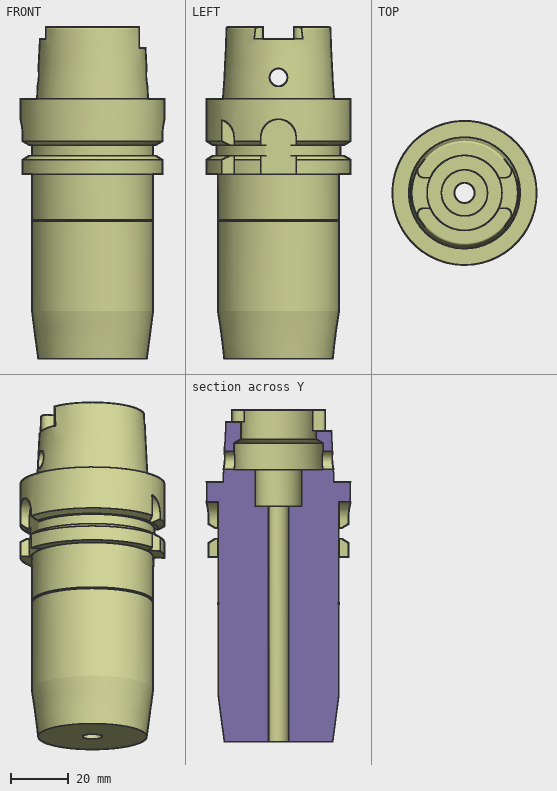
import cadquery as cq
import math

total_length = 115.0
flange_top = 90.0
flange_bottom = 64.0

flange_radius = 25.01
groove_radius = 21.5
groove_bottom = 70.4
groove_top = 74.1
groove_side_height = 1.4
groove_edge_radius = 22.8

taper_base_radius = 19.3
taper_tip_radius = 18.0
tip_rounding = 0.7

body_radius = 21.0
nose_radius = 18.9
nose_height = 16.6
ring_groove_bottom = 47.7
ring_groove_width = 0.5
ring_groove_depth = 0.2

mouth_radius = 13.0
mouth_depth = 10.1
undercut_radius = 15.4
undercut_cone_angle = 60.0
cavity_floor = 94.3
pocket_radius = 7.99
pocket_depth = 12.6
coolant_radius = 3.5
cross_hole_radius = 3.05
cross_hole_height = 97.5

lug_half_width = 16.2
key_half_width = 5.3
lug_corner_radius = 2.1
left_key_floor = 110.9
right_key_floor = 107.8

slot_half_width = 6.1
slot_arc_height = 76.9
slot_floor_offset = body_radius
notch_floor_offset = 15.4

clearance = 5.8


def make_outside():
    """Revolve the outer profile, then round the shank tip."""
    ring_floor = body_radius - ring_groove_depth
    ring_groove_top = ring_groove_bottom + ring_groove_width
    profile = [
        (0, 0),
        (nose_radius, 0),
        (body_radius, nose_height),
        (body_radius, ring_groove_bottom),
        (ring_floor, ring_groove_bottom),
        (ring_floor, ring_groove_top),
        (body_radius, ring_groove_top),
        (body_radius, flange_bottom),
        (flange_radius, flange_bottom),
        (flange_radius, groove_bottom - groove_side_height),
        (groove_edge_radius, groove_bottom),
        (groove_radius, groove_bottom),
        (groove_radius, groove_top),
        (groove_edge_radius, groove_top),
        (flange_radius, groove_top + groove_side_height),
        (flange_radius, flange_top),
        (taper_base_radius, flange_top),
        (taper_tip_radius, total_length),
        (0, total_length),
    ]
    outside = cq.Workplane("XZ").polyline(profile).close().revolve(360, (0, 0), (0, 1))
    return outside.faces(">Z").edges().fillet(tip_rounding)


def make_bores():
    """Revolve the mouth, the conical undercut, the pocket and the coolant hole as one cutter."""
    mouth_bottom = total_length - mouth_depth
    undercut_drop = (undercut_radius - mouth_radius) / math.tan(math.radians(undercut_cone_angle))
    pocket_floor = cavity_floor - pocket_depth
    profile = [
        (0, -clearance),
        (coolant_radius, -clearance),
        (coolant_radius, pocket_floor),
        (pocket_radius, pocket_floor),
        (pocket_radius, cavity_floor),
        (undercut_radius, cavity_floor),
        (undercut_radius, mouth_bottom - undercut_drop),
        (mouth_radius, mouth_bottom),
        (mouth_radius, total_length + clearance),
        (0, total_length + clearance),
    ]
    return cq.Workplane("XZ").polyline(profile).close().revolve(360, (0, 0), (0, 1))


def make_cross_hole():
    """Radial hole along X through both walls of the shank."""
    return (
        cq.Workplane("YZ")
        .center(0, cross_hole_height)
        .circle(cross_hole_radius)
        .extrude(flange_radius, both=True)
    )


def make_key_cut(side, floor):
    """Driving key cut on one X side, leaving lugs with rounded corners."""
    height = total_length + clearance - floor
    reach = flange_radius + clearance
    lug_length = reach - key_half_width
    lug_centre = (reach + key_half_width) / 2
    cutter = cq.Workplane("XY", origin=(side * reach / 2, 0, floor)).rect(reach, 2 * reach).extrude(height)
    for lug_side in (-1, 1):
        lug = (
            cq.Workplane("XY", origin=(0, lug_side * lug_centre, floor))
            .rect(2 * lug_half_width, lug_length)
            .extrude(height)
            .edges("|Z")
            .fillet(lug_corner_radius)
        )
        cutter = cutter.cut(lug)
    return cutter


def make_flange_slot(side, centre_y, floor_offset):
    """Round-topped slot, open at the flange underside and outward along X."""
    arc_centre = slot_arc_height - flange_bottom
    depth = flange_radius + clearance - floor_offset
    return (
        cq.Workplane("YZ", origin=(side * floor_offset, centre_y, flange_bottom))
        .moveTo(-slot_half_width, 0)
        .lineTo(-slot_half_width, arc_centre)
        .threePointArc((0, arc_centre + slot_half_width), (slot_half_width, arc_centre))
        .lineTo(slot_half_width, 0)
        .close()
        .extrude(side * depth)
    )


result = make_outside().cut(make_bores()).cut(make_cross_hole())
for side, key_floor in ((-1, left_key_floor), (1, right_key_floor)):
    result = result.cut(make_key_cut(side, key_floor))
    result = result.cut(make_flange_slot(side, 0, slot_floor_offset))

notch_centre_y = notch_floor_offset + slot_half_width
result = result.cut(make_flange_slot(-1, notch_centre_y, notch_floor_offset))